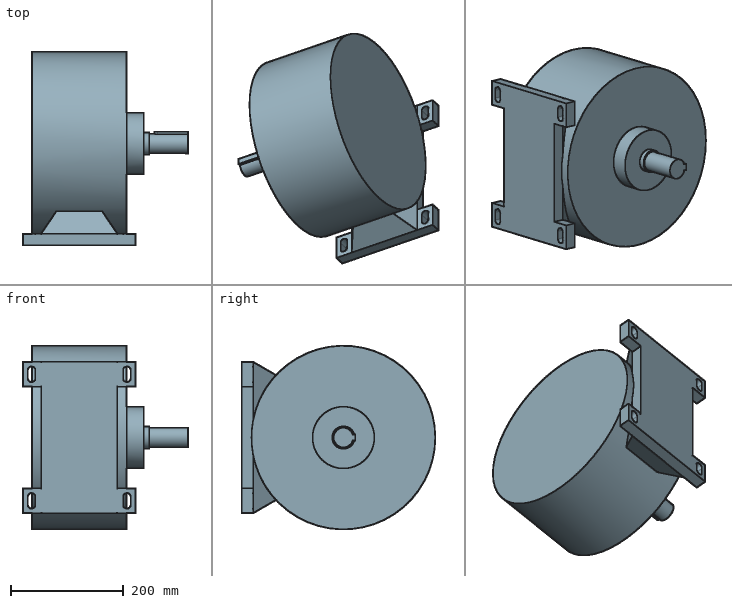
import cadquery as cq
import math

drum_diameter = 327.0
drum_length = 168.5

plate_width = 200.0
plate_height = 269.0
plate_thickness = 20.5
overall_depth = 344.5
foot_height = 44.0
neck_width = 135.7
slot_width = 13.5
slot_length = 27.5
slot_edge_distance = 15.5

pedestal_width = neck_width
pedestal_side_taper = 34.0
pedestal_end_taper = 30.0
pedestal_depth = 69.0

flange_diameter = 110.0
flange_length = 30.5
collar_diameter = 40.0
collar_length = 10.0
overall_length = 293.5
shaft_diameter = 35.0
key_width = 11.0
key_length = 60.3
key_projection = 3.8

plate_outer_y = drum_diameter / 2 - overall_depth
plate_inner_y = plate_outer_y + plate_thickness
shaft_end_x = overall_length - plate_width / 2
flange_end_x = drum_length / 2 + flange_length
collar_end_x = flange_end_x + collar_length


def cylinder_along_x(diameter, start, end):
    return cq.Workplane("YZ", origin=(start, 0, 0)).circle(diameter / 2).extrude(end - start)


def make_plate():
    """H-shaped plate with a vertical slot in each of its four feet."""
    plate = cq.Workplane("XY").box(plate_width, plate_thickness, plate_height)
    recess_width = (plate_width - neck_width) / 2
    recess_height = plate_height - 2 * foot_height
    recess = cq.Workplane("XY").box(recess_width, plate_thickness, recess_height)
    for side in (-1, 1):
        plate = plate.cut(recess.translate((side * (plate_width - recess_width) / 2, 0, 0)))
    slots = (
        cq.Workplane("XZ", origin=(0, plate_thickness / 2, 0))
        .rarray(plate_width - 2 * slot_edge_distance, plate_height - foot_height, 2, 2)
        .slot2D(slot_length, slot_width, 90)
        .extrude(plate_thickness)
    )
    return plate.cut(slots).translate((0, plate_outer_y + plate_thickness / 2, 0))


def make_pedestal():
    """Frustum narrowing in X and Z from the plate into the drum."""
    side_inset = pedestal_depth * math.tan(math.radians(pedestal_side_taper))
    end_inset = pedestal_depth * math.tan(math.radians(pedestal_end_taper))
    return (
        cq.Workplane("XZ", origin=(0, plate_inner_y, 0))
        .rect(pedestal_width, plate_height)
        .workplane(offset=-pedestal_depth)
        .rect(pedestal_width - 2 * side_inset, plate_height - 2 * end_inset)
        .loft(ruled=True)
    )


def make_key():
    """Key on the +Y side of the shaft, rounded at its inner end and flush with the shaft end."""
    key_start_x = shaft_end_x - key_length
    arc_start_x = key_start_x + key_width / 2
    half_width = key_width / 2
    return (
        cq.Workplane("XZ")
        .moveTo(shaft_end_x, -half_width)
        .lineTo(arc_start_x, -half_width)
        .threePointArc((key_start_x, 0), (arc_start_x, half_width))
        .lineTo(shaft_end_x, half_width)
        .close()
        .extrude(-(shaft_diameter / 2 + key_projection))
    )


drum = cylinder_along_x(drum_diameter, -drum_length / 2, drum_length / 2)
flange = cylinder_along_x(flange_diameter, drum_length / 2, flange_end_x)
collar = cylinder_along_x(collar_diameter, flange_end_x, collar_end_x)
shaft = cylinder_along_x(shaft_diameter, collar_end_x, shaft_end_x)

result = (
    drum.union(make_plate())
    .union(make_pedestal())
    .union(flange)
    .union(collar)
    .union(shaft)
    .union(make_key())
)